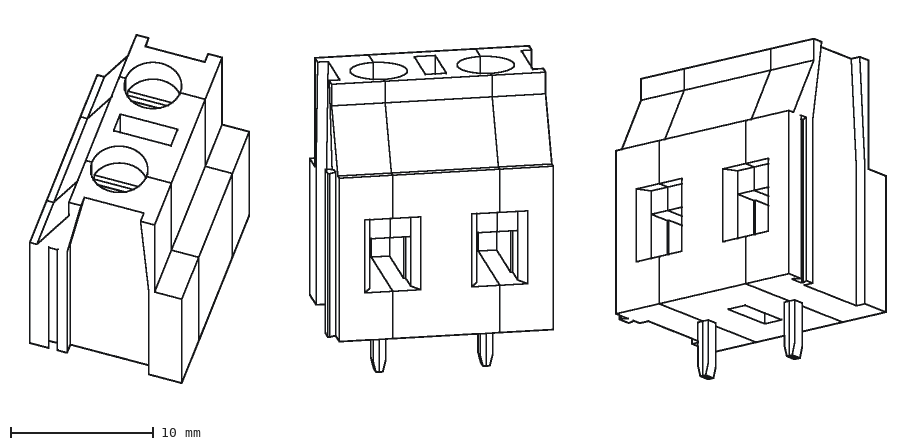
import cadquery as cq


overall_width = 15.85
overall_height = 22.0
depth = 11.2
rail_reach = 0.6
pin_length = 4.0

block_width = overall_width - rail_reach
block_height = overall_height - pin_length
pitch = block_width / 2
first_pole_y = pitch / 2
last_pole_y = block_width - first_pole_y
pole_positions = [first_pole_y, last_pole_y]

front_shelf_height = 12.0
front_shelf_depth = 0.53
slope_height = 16.41
top_front_x = 2.88
top_rear_x = 9.2
rear_shelf_height = 10.0

recess_depth = 0.75
recess_front_x = 2.75
recess_rear_x = 8.75
recess_top_front_x = 3.78
recess_top_rear_x = 8.16

slot_front_x = 3.94
slot_rear_x = recess_top_rear_x
slot_width = 1.5

screw_x = 5.35
screw_diameter = 4.0
screw_well_depth = 2.0
driver_slot_width = 0.75
driver_slot_depth = 0.5

entry_bottom = 3.48
entry_height = 5.35
entry_mouth_width = 4.0
entry_throat_width = 2.9
funnel_depth = 1.0
channel_height = 3.63
channel_end_x = 2.82
clamp_width = 2.62
clamp_end_x = slot_rear_x

pin_x = 5.5
pin_size = 0.9
pin_tip_width = 0.48
pin_taper_length = 0.81

dovetail_x = 1.72
dovetail_neck_width = 0.62
dovetail_outer_width = 1.05
dovetail_lip = 0.15


def box_between(x_range, y_range, z_range):
    """Box spanning the given (low, high) ranges."""
    size = [high - low for low, high in (x_range, y_range, z_range)]
    return cq.Workplane("XY").box(*size, centered=False).translate((x_range[0], y_range[0], z_range[0]))


def centered_range(center, width):
    return (center - width / 2, center + width / 2)


def outer_block():
    """Side profile extruded over the full block width."""
    profile = [
        (0, 0),
        (depth, 0),
        (depth, rear_shelf_height),
        (top_rear_x, rear_shelf_height),
        (top_rear_x, block_height),
        (top_front_x, block_height),
        (top_front_x, slope_height),
        (front_shelf_depth, front_shelf_height),
        (0, front_shelf_height),
    ]
    return cq.Workplane("XZ").polyline(profile).close().extrude(-block_width)


def end_recess(start_y):
    """Shallow recess that narrows toward the top, as a cutter starting at start_y."""
    profile = [
        (recess_front_x, 0),
        (recess_rear_x, 0),
        (recess_rear_x, rear_shelf_height),
        (recess_top_rear_x, block_height),
        (recess_top_front_x, block_height),
        (recess_front_x, front_shelf_height),
    ]
    cutter = cq.Workplane("XZ").polyline(profile).close().extrude(-recess_depth)
    return cutter.translate((0, start_y, 0))


def center_slot():
    """Vertical slot through the block, halfway between the poles."""
    return box_between(
        (slot_front_x, slot_rear_x), centered_range(block_width / 2, slot_width), (0, block_height)
    )


def screw_well(pole_y):
    """Round well down to the screw head, with the driver slot in its floor."""
    floor = block_height - screw_well_depth
    well = (
        cq.Workplane("XY", origin=(screw_x, pole_y, floor))
        .circle(screw_diameter / 2)
        .extrude(screw_well_depth)
    )
    head = well.translate((0, 0, -driver_slot_depth))
    slot_band = box_between(
        centered_range(screw_x, screw_diameter),
        centered_range(pole_y, driver_slot_width),
        (floor - driver_slot_depth, floor),
    )
    return well.union(head.intersect(slot_band))


def wire_entry(pole_y):
    """Funnel, channel and clamp chamber that share one flat floor."""
    mouth_half = entry_mouth_width / 2
    throat_half = entry_throat_width / 2
    funnel = (
        cq.Workplane("XY", origin=(0, pole_y, entry_bottom))
        .polyline([
            (0, -mouth_half),
            (funnel_depth, -throat_half),
            (funnel_depth, throat_half),
            (0, mouth_half),
        ])
        .close()
        .extrude(entry_height)
    )
    channel_z = (entry_bottom, entry_bottom + channel_height)
    channel = box_between(
        (funnel_depth, channel_end_x), centered_range(pole_y, entry_throat_width), channel_z
    )
    chamber = box_between(
        (channel_end_x, clamp_end_x), centered_range(pole_y, clamp_width), channel_z
    )
    return funnel.union(channel).union(chamber)


def pin(pole_y):
    """Square pin below the underside, tapered across Y at its tip."""
    half = pin_size / 2
    tip_half = pin_tip_width / 2
    taper_z = pin_taper_length - pin_length
    return (
        cq.Workplane("YZ", origin=(pin_x - half, pole_y, 0))
        .polyline([
            (-half, 0),
            (-half, taper_z),
            (-tip_half, -pin_length),
            (tip_half, -pin_length),
            (half, taper_z),
            (half, 0),
        ])
        .close()
        .extrude(pin_size)
    )


def dovetail(face_y):
    """Dovetail bar that widens from face_y toward +Y to a straight lip, up to the front shelf."""
    neck_half = dovetail_neck_width / 2
    outer_half = dovetail_outer_width / 2
    lip_start = rail_reach - dovetail_lip
    return (
        cq.Workplane("XY", origin=(dovetail_x, face_y, 0))
        .polyline([
            (-neck_half, 0),
            (neck_half, 0),
            (outer_half, lip_start),
            (outer_half, rail_reach),
            (-outer_half, rail_reach),
            (-outer_half, lip_start),
        ])
        .close()
        .extrude(front_shelf_height)
    )


def two_pole_block():
    """Common shape of the stacked sections, without the dovetail joint."""
    block = outer_block().cut(center_slot())
    for recess_y in (0, block_width - recess_depth):
        block = block.cut(end_recess(recess_y))
    for pole_y in pole_positions:
        block = block.cut(screw_well(pole_y)).cut(wire_entry(pole_y)).union(pin(pole_y))
    return block


def section(block, start_y, end_y):
    """The part of the block between two planes across Y."""
    slab = box_between((0, depth), (start_y, end_y), (-pin_length, block_height))
    return block.intersect(slab, clean=False).solids()


def make_grooved_end(block):
    return section(block, 0, first_pole_y).cut(dovetail(0), clean=False).solids()


def make_middle(block):
    return section(block, first_pole_y, last_pole_y)


def make_railed_end(block):
    return section(block, last_pole_y, block_width).union(dovetail(block_width), clean=False).solids()


full_block = two_pole_block()
grooved_end = make_grooved_end(full_block)
middle = make_middle(full_block)
railed_end = make_railed_end(full_block)

result = cq.Compound.makeCompound([grooved_end.val(), middle.val(), railed_end.val()])